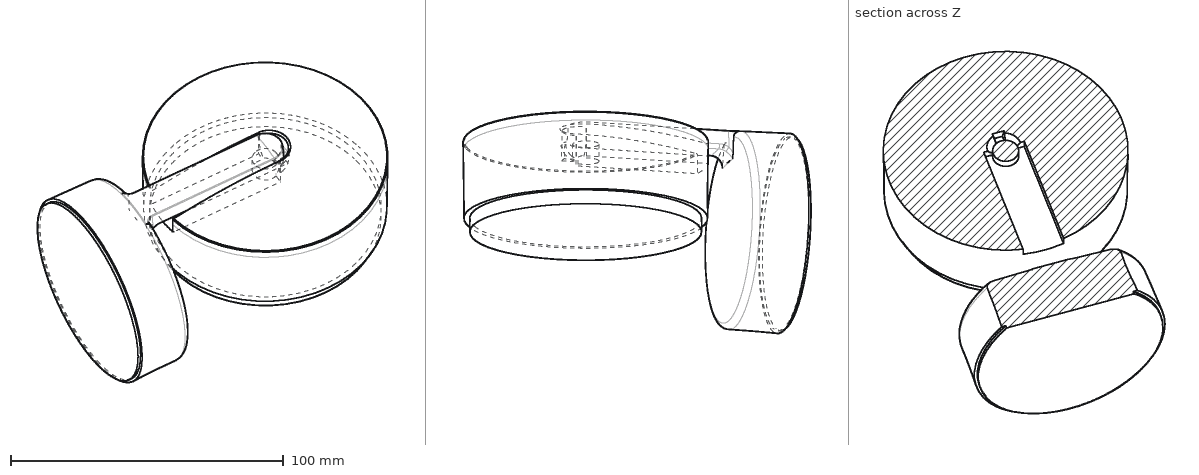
import cadquery as cq
import math

disk_radius = 36.8
disk_back_radius = 36.5
rim_radius = 71.3 / 2
rim_depth = 1.1
disk_shoulder_y = 21.8
disk_apex_y = 23.0
disk_edge_fillet = 2.4

head_radius = 45.0
head_y = 121.1 - head_radius
head_top_z = 30.2
head_apex_z = 34.9
head_edge_chamfer = 0.4
band_height = 3.3
body_bottom_radius = 44.7
body_bottom_z = 1.0
plinth_radius = 85.0 / 2
plinth_bottom_z = -4.2

arm_crown_radius = 36.5
arm_half_width = 7.0
arm_bottom_z = 29.1
arm_inner_end_y = 12.1
arm_draft = 5.0
arm_top_fillet = 0.4
arm_bottom_fillet = 1.5
root_y = 22.3
root_fillet = 5.0
flare_radius = 2.0
flare_end_y = 23.7

slot_half_width = 7.8
slot_center_y = head_y + 1.8
slot_floor_z = 22.6
bowl_lip = 0.7
bowl_lip_z = 33.9
bowl_fillet = 6.0

groove_floor_width = 3.3
groove_top_width = 5.5
groove_end_y = 84.8

pivot_radius = 4.8
pivot_overlap = 0.6

tool_top_z = 48.5
tolerance = 0.1


def dome_mid(radius, edge, apex):
    """Point halfway out on the arc from the apex on the axis to the edge."""
    height = apex - edge
    sphere = (radius**2 + height**2) / (2 * height)
    half = radius / 2
    return half, apex - sphere + math.sqrt(sphere**2 - half**2)


def make_disk():
    """Drafted disk with a stepped front rim and a domed back."""
    disk = (
        cq.Workplane("XY")
        .lineTo(rim_radius, 0)
        .lineTo(rim_radius, rim_depth)
        .lineTo(disk_radius, rim_depth)
        .lineTo(disk_back_radius, disk_shoulder_y)
        .threePointArc(dome_mid(disk_back_radius, disk_shoulder_y, disk_apex_y), (0, disk_apex_y))
        .close()
        .revolve(360, (0, 0, 0), (0, 1, 0))
    )
    back_edge = cq.selectors.BoxSelector(
        (-1.2, disk_shoulder_y - tolerance, -1.2), (1.2, disk_shoulder_y + tolerance, 1.2)
    )
    return disk.edges(back_edge).fillet(disk_edge_fillet)


def make_head():
    """Drum with a plinth below, a straight band at the top and a domed cover."""
    top_radius = head_radius - head_edge_chamfer
    head = (
        cq.Workplane("XZ")
        .moveTo(0, plinth_bottom_z)
        .lineTo(plinth_radius, plinth_bottom_z)
        .lineTo(plinth_radius, body_bottom_z)
        .lineTo(body_bottom_radius, body_bottom_z)
        .lineTo(head_radius, head_top_z - band_height)
        .lineTo(head_radius, head_top_z - head_edge_chamfer)
        .lineTo(top_radius, head_top_z)
        .threePointArc(dome_mid(top_radius, head_top_z, head_apex_z), (0, head_apex_z))
        .close()
        .revolve(360, (0, 0, 0), (0, 1, 0))
    )
    return head.translate((0, head_y, 0))


def make_slot():
    """Slot open towards the disk, ending in a bowl with a lip and a rounded floor."""
    channel = (
        cq.Workplane("XY", origin=(0, slot_center_y / 2, slot_floor_z))
        .rect(2 * slot_half_width, slot_center_y)
        .extrude(tool_top_z - slot_floor_z)
    )
    wall_radius = slot_half_width - bowl_lip
    lip_rise = tool_top_z - bowl_lip_z
    bowl = (
        cq.Workplane("XZ", origin=(0, slot_center_y, 0))
        .moveTo(0, slot_floor_z)
        .lineTo(wall_radius - bowl_fillet, slot_floor_z)
        .radiusArc((wall_radius, slot_floor_z + bowl_fillet), -bowl_fillet)
        .lineTo(wall_radius, bowl_lip_z)
        .lineTo(wall_radius + lip_rise, tool_top_z)
        .lineTo(0, tool_top_z)
        .close()
        .revolve(180, (0, 0, 0), (0, 1, 0))
    )
    return channel.union(bowl)


def make_groove():
    """Short groove with sloping flanks, sunk through the rounded floor of the bowl."""
    return (
        cq.Workplane("XZ", origin=(0, slot_center_y, 0))
        .moveTo(-groove_floor_width / 2, slot_floor_z)
        .lineTo(groove_floor_width / 2, slot_floor_z)
        .lineTo(groove_top_width / 2, slot_floor_z + bowl_fillet)
        .lineTo(-groove_top_width / 2, slot_floor_z + bowl_fillet)
        .close()
        .extrude(slot_center_y - groove_end_y)
    )


def make_arm_blank():
    """Drafted bar with a round tip, flared where it meets the disk."""
    root_z = arm_bottom_z - root_fillet
    half_width = arm_half_width + root_fillet * math.tan(math.radians(arm_draft))
    flared = half_width + flare_radius
    flare_start_y = flare_end_y - flare_radius
    return (
        cq.Workplane("XY", origin=(0, 0, root_z))
        .moveTo(-flared, arm_inner_end_y)
        .lineTo(flared, arm_inner_end_y)
        .lineTo(flared, flare_start_y)
        .radiusArc((half_width, flare_end_y), flare_radius)
        .lineTo(half_width, head_y)
        .threePointArc((0, head_y + half_width), (-half_width, head_y))
        .lineTo(-half_width, flare_end_y)
        .radiusArc((-flared, flare_start_y), flare_radius)
        .close()
        .extrude(tool_top_z - root_z, taper=arm_draft)
    )


def make_arm_envelope():
    """Side profile of the arm, with a concave fillet below its root."""
    root_z = arm_bottom_z - root_fillet
    past_tip_y = head_y + 2 * arm_half_width
    return (
        cq.Workplane("YZ")
        .moveTo(arm_inner_end_y, root_z)
        .lineTo(root_y, root_z)
        .radiusArc((root_y + root_fillet, arm_bottom_z), root_fillet)
        .lineTo(past_tip_y, arm_bottom_z)
        .lineTo(past_tip_y, tool_top_z)
        .lineTo(arm_inner_end_y, tool_top_z)
        .close()
        .extrude(2 * arm_half_width, both=True)
    )


def make_arm_crown():
    """Cylinder along Y with a ball at its end, giving the arm its curved top."""
    ball = cq.Workplane("XY", origin=(0, head_y, 0)).sphere(arm_crown_radius)
    return cq.Workplane("XZ").circle(arm_crown_radius).extrude(-head_y).union(ball)


def round_arm_edges(arm, low_z, high_z, radius):
    """Round the long edges and the tip edge whose centres lie between two heights."""
    edges = []
    for edge in arm.edges().vals():
        center = edge.Center()
        at_height = low_z < center.z < high_z
        beyond_root = center.y > root_y + 2 * root_fillet
        across_crown = abs(center.y - head_y) < tolerance
        if at_height and beyond_root and not across_crown:
            edges.append(edge)
    return arm.newObject(edges).fillet(radius)


def make_arm():
    """Crowned arm with its long edges and tip rounded above and below."""
    arm = make_arm_blank().intersect(make_arm_envelope()).intersect(make_arm_crown())
    arm = round_arm_edges(arm, head_apex_z, arm_crown_radius, arm_top_fillet)
    return round_arm_edges(arm, arm_bottom_z - tolerance, arm_bottom_z + tolerance, arm_bottom_fillet)


def make_pivot():
    """Post between the slot floor and the underside of the arm."""
    height = arm_bottom_z - slot_floor_z + 2 * pivot_overlap
    return (
        cq.Workplane("XY", origin=(0, head_y, slot_floor_z - pivot_overlap))
        .circle(pivot_radius)
        .extrude(height)
    )


head = make_head().cut(make_slot()).cut(make_groove())
result = head.union(make_pivot()).union(make_arm()).union(make_disk())